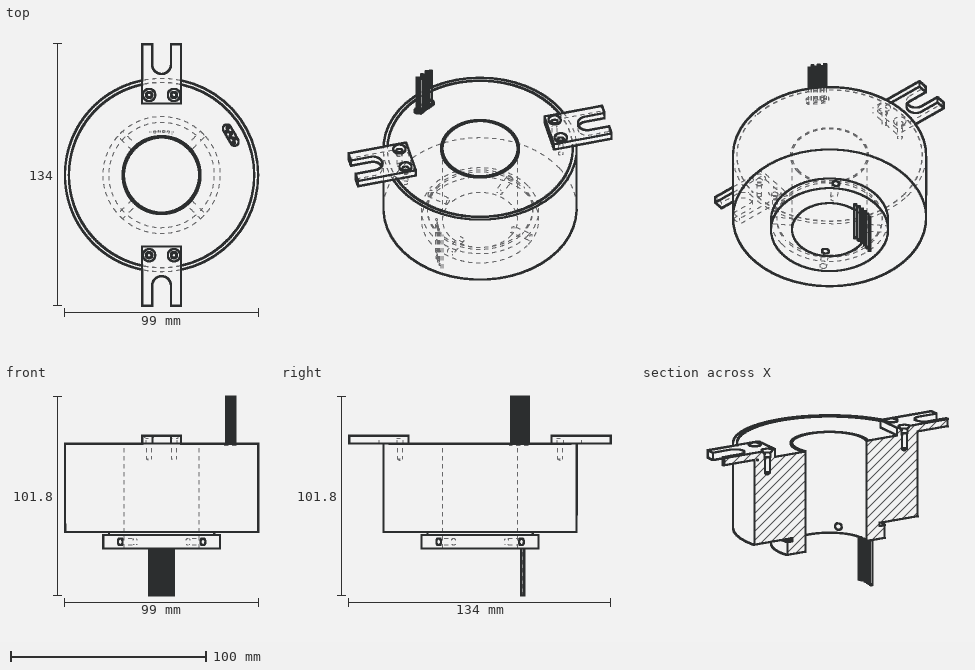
import cadquery as cq
import math

HOUSING_DIAMETER = 99.0
HOUSING_HEIGHT = 45.3
COVER_DIAMETER = 95.0
TUBE_DIAMETER = 40.0
BORE_DIAMETER = 38.4
SEAM_WIDTH = 0.1
SEAM_DEPTH = 0.2

NECK_DIAMETER = 54.0
NECK_HEIGHT = 1.5
FLANGE_DIAMETER = 60.0
FLANGE_HEIGHT = 7.0
SET_SCREW_DIAMETER = 3.5
SET_SCREW_COUNT = 4
SET_SCREW_START_ANGLE = 45.0

LUG_WIDTH = 20.0
LUG_LENGTH = 30.5
LUG_THICKNESS = 4.0
LUG_SPAN = 134.0
FORK_WIDTH = 9.5
FORK_DEPTH = 15.2
SCREW_SPACING = 12.7
SCREW_END_DISTANCE = 4.5
SCREW_HOLE_DIAMETER = 3.2
SCREW_HEAD_DIAMETER = 6.3
COUNTERSINK_ANGLE = 90.0

DRILL_DIAMETER = 2.5
DRILL_DEPTH = 8.0
DRILL_TIP_ANGLE = 118.0

WIRE_DIAMETER = 1.2
WIRE_LENGTH = 24.0
WIRE_COUNT = 6
WIRE_ROOT = 1.0

SLOT_RADIUS = 40.9
SLOT_ANGLE = 30.0
SLOT_LENGTH = 12.0
SLOT_WIDTH = 4.2
SLOT_DEPTH = 1.0
UPPER_WIRE_PITCH = 1.65
UPPER_ROW_OFFSET = 0.65

LOWER_WIRE_RADIUS = 22.3
LOWER_WIRE_PITCH_ANGLE = 6.0

FLANGE_BOTTOM = -NECK_HEIGHT - FLANGE_HEIGHT
LUG_SCREW_Y = LUG_SPAN / 2 - LUG_LENGTH + SCREW_END_DISTANCE


def disc(diameter, bottom, height):
    return cq.Workplane("XY").workplane(offset=bottom).circle(diameter / 2).extrude(height)


def centred_steps(count, pitch):
    """Evenly spaced positions, symmetric about zero."""
    return [(i - (count - 1) / 2) * pitch for i in range(count)]


def make_body():
    housing = disc(HOUSING_DIAMETER, 0, HOUSING_HEIGHT)
    neck = disc(NECK_DIAMETER, -NECK_HEIGHT, NECK_HEIGHT)
    flange = disc(FLANGE_DIAMETER, FLANGE_BOTTOM, FLANGE_HEIGHT)
    bore = disc(BORE_DIAMETER, FLANGE_BOTTOM, HOUSING_HEIGHT - FLANGE_BOTTOM)
    return housing.union(neck).union(flange).cut(bore)


def make_seam(diameter):
    """Fine ring groove in the top face, just inside the given diameter."""
    bottom = HOUSING_HEIGHT - SEAM_DEPTH
    return disc(diameter, bottom, SEAM_DEPTH).cut(disc(diameter - 2 * SEAM_WIDTH, bottom, SEAM_DEPTH))


def make_set_screw_hole(angle):
    """Radial hole from the flange rim through to the bore."""
    return (
        cq.Workplane("YZ")
        .center(0, FLANGE_BOTTOM + FLANGE_HEIGHT / 2)
        .circle(SET_SCREW_DIAMETER / 2)
        .extrude(FLANGE_DIAMETER / 2)
        .rotate((0, 0, 0), (0, 0, 1), angle)
    )


def make_lug():
    """Lug at the +Y end, with its fork open outward and two countersunk holes."""
    outer_y = LUG_SPAN / 2
    inner_y = outer_y - LUG_LENGTH
    fork_radius = FORK_WIDTH / 2
    arc_y = outer_y - FORK_DEPTH + fork_radius
    plate = (
        cq.Workplane("XY")
        .workplane(offset=HOUSING_HEIGHT)
        .moveTo(-LUG_WIDTH / 2, inner_y)
        .lineTo(LUG_WIDTH / 2, inner_y)
        .lineTo(LUG_WIDTH / 2, outer_y)
        .lineTo(fork_radius, outer_y)
        .lineTo(fork_radius, arc_y)
        .threePointArc((0, outer_y - FORK_DEPTH), (-fork_radius, arc_y))
        .lineTo(-fork_radius, outer_y)
        .lineTo(-LUG_WIDTH / 2, outer_y)
        .close()
        .extrude(LUG_THICKNESS)
    )
    return (
        plate.faces(">Z")
        .workplane(origin=(0, LUG_SCREW_Y, HOUSING_HEIGHT + LUG_THICKNESS))
        .pushPoints([(-SCREW_SPACING / 2, 0), (SCREW_SPACING / 2, 0)])
        .cskHole(SCREW_HOLE_DIAMETER, SCREW_HEAD_DIAMETER, COUNTERSINK_ANGLE)
    )


def make_drilled_hole(x, y):
    """Blind hole down from the housing top, ending in a drill-point cone."""
    radius = DRILL_DIAMETER / 2
    tip_length = radius / math.tan(math.radians(DRILL_TIP_ANGLE / 2))
    return (
        cq.Workplane("XZ")
        .moveTo(0, 0)
        .lineTo(radius, 0)
        .lineTo(radius, -DRILL_DEPTH)
        .lineTo(0, -DRILL_DEPTH - tip_length)
        .close()
        .revolve(360, (0, 0, 0), (0, 1, 0))
        .translate((x, y, HOUSING_HEIGHT))
    )


def turn_to_slot(shape):
    """Move a shape laid out along Y at the +X axis to the wire slot position."""
    return shape.translate((SLOT_RADIUS, 0, 0)).rotate((0, 0, 0), (0, 0, 1), SLOT_ANGLE)


def make_wire_slot():
    slot = (
        cq.Workplane("XY")
        .workplane(offset=HOUSING_HEIGHT - SLOT_DEPTH)
        .slot2D(SLOT_LENGTH, SLOT_WIDTH, 90)
        .extrude(SLOT_DEPTH)
    )
    return turn_to_slot(slot)


def make_upper_wires():
    points = []
    for i, y in enumerate(centred_steps(WIRE_COUNT, UPPER_WIRE_PITCH)):
        side = -1 if i % 2 == 0 else 1
        points.append((side * UPPER_ROW_OFFSET, y))
    wires = (
        cq.Workplane("XY")
        .workplane(offset=HOUSING_HEIGHT - SLOT_DEPTH - WIRE_ROOT)
        .pushPoints(points)
        .circle(WIRE_DIAMETER / 2)
        .extrude(WIRE_ROOT + SLOT_DEPTH + WIRE_LENGTH)
    )
    return turn_to_slot(wires)


def make_lower_wires():
    points = []
    for step in centred_steps(WIRE_COUNT, LOWER_WIRE_PITCH_ANGLE):
        angle = math.radians(step)
        points.append((LOWER_WIRE_RADIUS * math.sin(angle), LOWER_WIRE_RADIUS * math.cos(angle)))
    return (
        cq.Workplane("XY")
        .workplane(offset=FLANGE_BOTTOM - WIRE_LENGTH)
        .pushPoints(points)
        .circle(WIRE_DIAMETER / 2)
        .extrude(WIRE_LENGTH + WIRE_ROOT)
    )


result = make_body()
result = result.cut(make_seam(COVER_DIAMETER))
result = result.cut(make_seam(TUBE_DIAMETER))
result = result.cut(make_wire_slot())

for i in range(SET_SCREW_COUNT):
    hole_angle = SET_SCREW_START_ANGLE + i * 360 / SET_SCREW_COUNT
    result = result.cut(make_set_screw_hole(hole_angle))

for screw_x in (-SCREW_SPACING / 2, SCREW_SPACING / 2):
    for screw_y in (-LUG_SCREW_Y, LUG_SCREW_Y):
        result = result.cut(make_drilled_hole(screw_x, screw_y))

lug = make_lug()
result = result.union(lug).union(lug.mirror("XZ"))
result = result.union(make_upper_wires())
result = result.union(make_lower_wires())